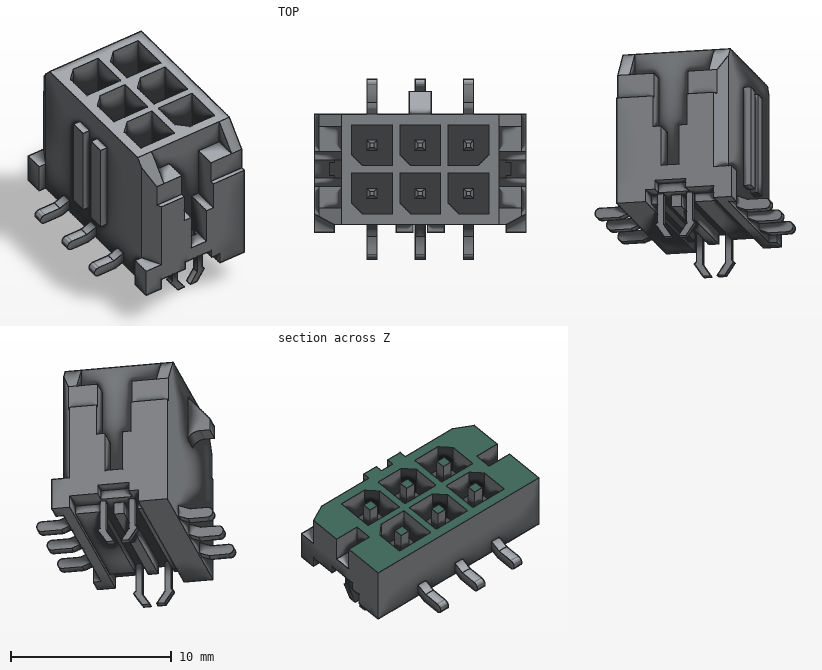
import cadquery as cq
import math


LENGTH = 13.15
HEIGHT = 9.92
HALF_DEPTH = 3.43
CORE_HALF = 4.9
SHOULDER_HALF = 6.29
STEP_Z = 6.75
SHOULDER_Z = 8.27
FOOT_Z = 1.99
FRONT_Y = -3.92
FOOT_INNER_X = 5.34
CORNER_CUT_Y = 0.66
BACK_GUSSET = 0.76
FRONT_GUSSET = 1.04

WIDE_SLOT = 2.18
WIDE_SLOT_Z = 4.79
NARROW_SLOT = 1.15
NARROW_SLOT_Z = 2.27
SLOT_Y = 0.03
FLOOR_RECESS = 0.2
RECESS_TAB_X = 5.63
RECESS_TAB_WIDTH = 0.8

RIB_WIDTH = 1.05
RIB_GAP = 0.9

PITCH = 3.0
COLUMNS = (-1, 0, 1)
ROWS = (-1, 1)
KEY_CELL = (1, 1)
CELL = 2.52
CELL_BEVEL = 0.67
CELL_FLOOR_Z = 1.99
PIN = 0.63
PIN_TIP = 0.25
PIN_TAPER = 1.05
PIN_TOP_Z = 6.97

LEAD_END_Y = 5.6
LEAD_BEND_Y = 4.15
LEAD_THICK = 0.66
LEAD_BOTTOM_Z = -0.05
LEAD_RISE = 0.29
LEAD_ROOT = 0.53

LATCH_WIDTH = 1.4
LATCH_Y = 4.84
LATCH_TOP_Z = 9.31
LATCH_BEND_Z = 7.73
LATCH_BOTTOM_Z = 6.97
LATCH_FILLET = 0.84
LATCH_FILLET_Y = 4.21

CHANNEL_Z = 0.76
CHANNEL_FRONT_Y = -2.77
CHANNEL_BACK_Y = 1.59
PAD_Z = 0.24
BACK_PAD_WIDTH = 0.38
FRONT_PAD_WIDTH = 1.6
KEEL_WIDTH = 0.63
CLIP_WINDOW_WIDTH = 1.97
CLIP_WINDOW_Z = 1.33

CLIP_BOTTOM_Z = -2.0
CLIP_BARB_Z = -1.18
CLIP_NECK_Z = -1.04
CLIP_KNEE_Z = -1.21
CLIP_LEG = 0.38
CLIP_OUTER_Y = 1.12
CLIP_BARB_Y = 1.26
CLIP_TIP_INNER_Y = 0.21
CLIP_TIP_OUTER_Y = 0.71


def box(x0, x1, y0, y1, z0, z1):
    """Axis-aligned block between two opposite corners."""
    return cq.Workplane("XY").box(x1 - x0, y1 - y0, z1 - z0, centered=False).translate((x0, y0, z0))


def both_ends(shape):
    """The shape together with its mirror image across X = 0."""
    return shape.union(shape.mirror("YZ"))


def side_prism(outline, x_center, width):
    """Closed (Y, Z) outline, extruded along X about x_center."""
    return outline.close().extrude(width / 2, both=True).translate((x_center, 0, 0))


def gusset(y0, y1):
    """Sloped web from the top edge of the core down to the shoulder, at the +X end."""
    profile = [(CORE_HALF, SHOULDER_Z), (SHOULDER_HALF, SHOULDER_Z), (CORE_HALF, HEIGHT)]
    return cq.Workplane("XZ").polyline(profile).close().extrude(y1 - y0).translate((0, y1, 0))


def end_block():
    """The +X end: outer step, shoulder, gussets and stepped slot, with a foot at the front corner."""
    half = LENGTH / 2
    block = box(CORE_HALF, half, -HALF_DEPTH, HALF_DEPTH, 0, STEP_Z)
    block = block.union(box(CORE_HALF, SHOULDER_HALF, -HALF_DEPTH, HALF_DEPTH, 0, SHOULDER_Z))
    block = block.union(gusset(HALF_DEPTH - BACK_GUSSET, HALF_DEPTH))
    block = block.union(gusset(-HALF_DEPTH, -HALF_DEPTH + FRONT_GUSSET))

    corner = [(FOOT_INNER_X, -HALF_DEPTH), (half, -HALF_DEPTH), (half, -HALF_DEPTH + CORNER_CUT_Y)]
    bevel = cq.Workplane("XY").polyline(corner).close().extrude(HEIGHT).translate((0, 0, FOOT_Z))
    block = block.cut(bevel).union(box(FOOT_INNER_X, half, FRONT_Y, -HALF_DEPTH, 0, FOOT_Z))

    def slot(x1, width, z0, z1):
        return box(CORE_HALF, x1, SLOT_Y - width / 2, SLOT_Y + width / 2, z0, z1)

    block = block.cut(slot(half, WIDE_SLOT, WIDE_SLOT_Z, HEIGHT))
    block = block.cut(slot(half, NARROW_SLOT, NARROW_SLOT_Z, HEIGHT))
    recess_z = NARROW_SLOT_Z - FLOOR_RECESS
    block = block.cut(slot(FOOT_INNER_X, NARROW_SLOT, recess_z, NARROW_SLOT_Z))
    return block.cut(slot(RECESS_TAB_X, RECESS_TAB_WIDTH, recess_z, NARROW_SLOT_Z))


def front_rib():
    """Upright rib on the front wall, right of centre."""
    return box(RIB_GAP / 2, RIB_GAP / 2 + RIB_WIDTH, FRONT_Y, -HALF_DEPTH, FOOT_Z, SHOULDER_Z)


def underside_channel():
    """Space under the housing along X, leaving two strips and a keel below the core."""
    half = LENGTH / 2
    channel = box(-half, half, CHANNEL_FRONT_Y, CHANNEL_BACK_Y, 0, CHANNEL_Z)
    back_pad_y = CHANNEL_BACK_Y - BACK_PAD_WIDTH
    front_pad_y = CHANNEL_FRONT_Y + FRONT_PAD_WIDTH
    strips = box(-CORE_HALF, CORE_HALF, back_pad_y, CHANNEL_BACK_Y, PAD_Z, CHANNEL_Z)
    strips = strips.union(box(-CORE_HALF, CORE_HALF, CHANNEL_FRONT_Y, front_pad_y, PAD_Z, CHANNEL_Z))
    strips = strips.union(box(-CORE_HALF, CORE_HALF, -KEEL_WIDTH / 2, KEEL_WIDTH / 2, 0, CHANNEL_Z))
    return channel.cut(strips)


def clip_window():
    """Opening in the +X end wall just above the channel, in front of the clip."""
    half_width = CLIP_WINDOW_WIDTH / 2
    return box(RECESS_TAB_X, LENGTH / 2, -half_width, half_width, CHANNEL_Z, CLIP_WINDOW_Z)


def cell(column, row):
    """Contact cavity, square with one bevelled front corner."""
    half = CELL / 2
    bevel = CELL_BEVEL - half
    outline = [(half, -half), (half, half), (-half, half), (-half, bevel), (bevel, -half)]
    cavity = cq.Workplane("XY").polyline(outline).close().extrude(HEIGHT - CELL_FLOOR_Z)
    if (column, row) == KEY_CELL:
        cavity = cavity.mirror("YZ")
    return cavity.translate((column * PITCH, row * PITCH / 2, CELL_FLOOR_Z))


def pin(column, row):
    """Square pin with a tapered tip, standing on the cell floor."""
    shank = cq.Workplane("XY").rect(PIN, PIN).extrude(PIN_TOP_Z - PIN_TAPER - CELL_FLOOR_Z)
    tip = shank.faces(">Z").workplane().rect(PIN, PIN)
    tip = tip.workplane(offset=PIN_TAPER).rect(PIN_TIP, PIN_TIP).loft(combine=True)
    return tip.translate((column * PITCH, row * PITCH / 2, CELL_FLOOR_Z))


def back_lead(column):
    """Round-ended solder lead, sloping up into the back wall."""
    top_z = LEAD_BOTTOM_Z + LEAD_THICK
    end_center_y = LEAD_END_Y - LEAD_THICK / 2
    slope = LEAD_RISE / (LEAD_BEND_Y - HALF_DEPTH)
    root_y = HALF_DEPTH - LEAD_ROOT
    lower_bend_y = LEAD_BEND_Y - LEAD_THICK * math.tan(math.atan(slope) / 2)
    outline = (
        cq.Workplane("YZ")
        .moveTo(root_y, top_z + slope * (LEAD_BEND_Y - root_y))
        .lineTo(LEAD_BEND_Y, top_z)
        .lineTo(end_center_y, top_z)
        .threePointArc((LEAD_END_Y, top_z - LEAD_THICK / 2), (end_center_y, LEAD_BOTTOM_Z))
        .lineTo(lower_bend_y, LEAD_BOTTOM_Z)
        .lineTo(root_y, LEAD_BOTTOM_Z + slope * (lower_bend_y - root_y))
    )
    return side_prism(outline, column * PITCH, PIN)


def latch():
    """Ramp on the back wall with a filleted underside."""
    center_z = LATCH_BOTTOM_Z - LATCH_FILLET
    end_angle = math.acos((LATCH_FILLET_Y - HALF_DEPTH) / LATCH_FILLET)
    mid_angle = (math.pi / 2 + end_angle) / 2
    fillet_mid = (
        LATCH_FILLET_Y - LATCH_FILLET * math.cos(mid_angle),
        center_z + LATCH_FILLET * math.sin(mid_angle),
    )
    fillet_end = (HALF_DEPTH, center_z + LATCH_FILLET * math.sin(end_angle))
    outline = (
        cq.Workplane("YZ")
        .moveTo(HALF_DEPTH, LATCH_TOP_Z)
        .lineTo(LATCH_Y, LATCH_BEND_Z)
        .lineTo(LATCH_Y, LATCH_BOTTOM_Z)
        .lineTo(LATCH_FILLET_Y, LATCH_BOTTOM_Z)
        .threePointArc(fillet_mid, fillet_end)
    )
    return side_prism(outline, 0, LATCH_WIDTH)


def clip_leg():
    """Barbed back leg of the board clip at the +X end."""
    inner_y = CLIP_OUTER_Y - CLIP_LEG
    outline = cq.Workplane("YZ").polyline([
        (inner_y, CHANNEL_Z),
        (CLIP_OUTER_Y, CHANNEL_Z),
        (CLIP_OUTER_Y, CLIP_NECK_Z),
        (CLIP_BARB_Y, CLIP_BARB_Z),
        (CLIP_TIP_OUTER_Y, CLIP_BOTTOM_Z),
        (CLIP_TIP_INNER_Y, CLIP_BOTTOM_Z),
        (inner_y, CLIP_KNEE_Z),
    ])
    return side_prism(outline, (CORE_HALF + FOOT_INNER_X) / 2, FOOT_INNER_X - CORE_HALF)


result = box(-CORE_HALF, CORE_HALF, -HALF_DEPTH, HALF_DEPTH, 0, HEIGHT)
result = result.union(both_ends(end_block())).union(both_ends(front_rib())).union(latch())
result = result.cut(underside_channel()).cut(both_ends(clip_window()))

for column in COLUMNS:
    for row in ROWS:
        result = result.cut(cell(column, row)).union(pin(column, row))
    lead = back_lead(column)
    result = result.union(lead).union(lead.mirror("XZ"))

leg = clip_leg()
result = result.union(both_ends(leg.union(leg.mirror("XZ"))))